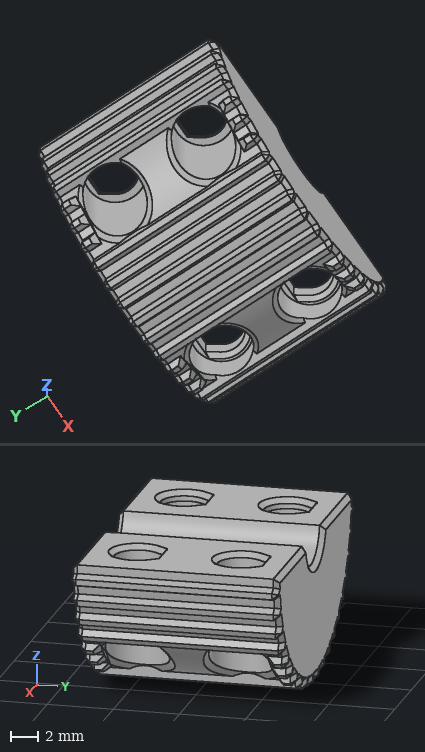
import cadquery as cq
import math

length = 15.6
axis_height = 0.5
root_radius = 11.23
tip_radius = 11.75
groove_radius = 2.75
chamfer = 0.4

teeth_on_full_pulley = 42
tooth_pitch = 360.0 / teeth_on_full_pulley
teeth_per_side = 10
tip_half_width = 0.25
root_half_width = 0.5

hole_x = 7.0
hole_y = length / 4
hole_radius = 1.75
hole_flat_height = 1.93
shoulder_angle = math.radians(55.0)
counterbore_radius = 2.35
left_bore_depth = 0.8
right_bore_depth = 2.73

first_short_tooth = 3
last_short_tooth = 5
tooth_gap_clearance = 0.05

half_length = length / 2
tooth_height = tip_radius - root_radius
tooth_gap_half_length = hole_y + counterbore_radius + tooth_gap_clearance
oversize = 4 * root_radius


def prism_about_axis(outline):
    """Extrude an outline, drawn around the pulley axis, over the whole length."""
    return outline.extrude(half_length, both=True)


def axis_sketch():
    """Sketch in the XZ plane with its origin on the pulley axis."""
    return cq.Workplane("XZ", origin=(0, 0, axis_height))


def turn_about_axis(shape, angle):
    return shape.rotate((0, 0, axis_height), (0, 1, axis_height), angle)


def make_core():
    """Toothless half cylinder with the shaft groove and chamfered ends."""
    core = prism_about_axis(axis_sketch().circle(root_radius))
    above_split = cq.Workplane("XY").box(oversize, oversize, oversize, centered=(True, True, False))
    groove = prism_about_axis(axis_sketch().circle(groove_radius))
    return core.cut(above_split).cut(groove).faces("<Y or >Y").chamfer(chamfer)


def make_tooth():
    """Tooth pointing straight down, its flanks and tip chamfered at both ends."""
    flank_slope = (root_half_width - tip_half_width) / tooth_height
    foot_radius = root_radius - 2 * chamfer
    foot_half_width = tip_half_width + flank_slope * (tip_radius - foot_radius)
    outline = [
        (-foot_half_width, -foot_radius),
        (-tip_half_width, -tip_radius),
        (tip_half_width, -tip_radius),
        (foot_half_width, -foot_radius),
    ]
    tooth = prism_about_axis(axis_sketch().polyline(outline).close())
    for start, finish in zip(outline, outline[1:]):
        for end in (-1, 1):
            tooth = tooth.cut(end_chamfer_wedge(start, finish, end))
    return tooth


def end_chamfer_wedge(start, finish, end):
    """Cutter for a 45 degree chamfer along one tooth edge, at the -Y (-1) or +Y (1) end."""
    along = cq.Vector(finish[0] - start[0], 0, finish[1] - start[1])
    inward = cq.Vector(-along.z, 0, along.x)
    corner = (start[0], end * half_length, start[1] + axis_height)
    plane = cq.Plane(origin=corner, xDir=inward, normal=along)
    return (
        cq.Workplane(plane)
        .polyline([
            (-chamfer, 2 * chamfer * end),
            (-chamfer, -2 * chamfer * end),
            (3 * chamfer, -2 * chamfer * end),
        ])
        .close()
        .extrude(oversize, both=True)
    )


def shorten_tooth(tooth):
    """Remove the middle of a tooth, leaving two end pieces with 45 degree inner ends."""
    root_z = axis_height - root_radius
    reach = 2 * tooth_height
    gap = (
        cq.Workplane("YZ")
        .polyline([
            (-tooth_gap_half_length, 0),
            (tooth_gap_half_length, 0),
            (tooth_gap_half_length, root_z),
            (tooth_gap_half_length + reach, root_z - reach),
            (-tooth_gap_half_length - reach, root_z - reach),
            (-tooth_gap_half_length, root_z),
        ])
        .close()
        .extrude(oversize, both=True)
    )
    return tooth.cut(gap)


def make_counterbore(bore_depth):
    """Cylinder on the Z axis from the end of the bore down past the teeth."""
    return (
        cq.Workplane("XY", origin=(0, 0, -bore_depth))
        .circle(counterbore_radius)
        .extrude(bore_depth - tip_radius)
    )


def add_counterbore_mouths(core):
    """Sink the counterbores into the core and chamfer their rims between the short tooth ends."""
    drilled = core
    for x in (-hole_x, hole_x):
        for y in (-hole_y, hole_y):
            drilled = drilled.cut(make_counterbore(right_bore_depth).translate((x, y, 0)))
    chamfered = drilled.edges("%BSPLINE").chamfer(chamfer)
    middle = cq.Workplane("XY").box(oversize, 2 * tooth_gap_half_length, oversize)
    return chamfered.union(core.cut(middle))


def add_teeth(body):
    tooth = make_tooth()
    short_tooth = shorten_tooth(tooth)
    for number in range(teeth_per_side):
        is_short = first_short_tooth <= number <= last_short_tooth
        angle = (number + 0.5) * tooth_pitch
        for turn in (-angle, angle):
            body = body.union(turn_about_axis(short_tooth if is_short else tooth, turn))
    return body


def teardrop(workplane, radius):
    """Circle whose +Y side runs into two slanted shoulders cut off by a flat."""
    tangent_x = radius * math.sin(shoulder_angle)
    tangent_y = radius * math.cos(shoulder_angle)
    flat_half_width = (radius - hole_flat_height * math.cos(shoulder_angle)) / math.sin(shoulder_angle)
    return (
        workplane.moveTo(flat_half_width, hole_flat_height)
        .lineTo(tangent_x, tangent_y)
        .threePointArc((0, -radius), (-tangent_x, tangent_y))
        .lineTo(-flat_half_width, hole_flat_height)
        .close()
    )


def make_screw_hole(bore_depth, chamfer_inner_end):
    """Counterbored teardrop hole with a chamfered mouth, centred on the Z axis."""
    wide_end = teardrop(cq.Workplane("XY"), hole_radius + chamfer).workplane(offset=-chamfer)
    mouth = teardrop(wide_end, hole_radius).loft(ruled=True)
    bore = teardrop(cq.Workplane("XY"), hole_radius).extrude(-bore_depth)
    hole = bore.union(mouth).union(make_counterbore(bore_depth))
    if chamfer_inner_end:
        hole = hole.union(mouth.mirror("XY").translate((0, 0, -bore_depth)))
    return hole


left_hole = make_screw_hole(left_bore_depth, chamfer_inner_end=False)
right_hole = make_screw_hole(right_bore_depth, chamfer_inner_end=True)

result = add_teeth(add_counterbore_mouths(make_core()))
for y in (-hole_y, hole_y):
    result = result.cut(left_hole.translate((-hole_x, y, 0)))
    result = result.cut(right_hole.translate((hole_x, y, 0)))